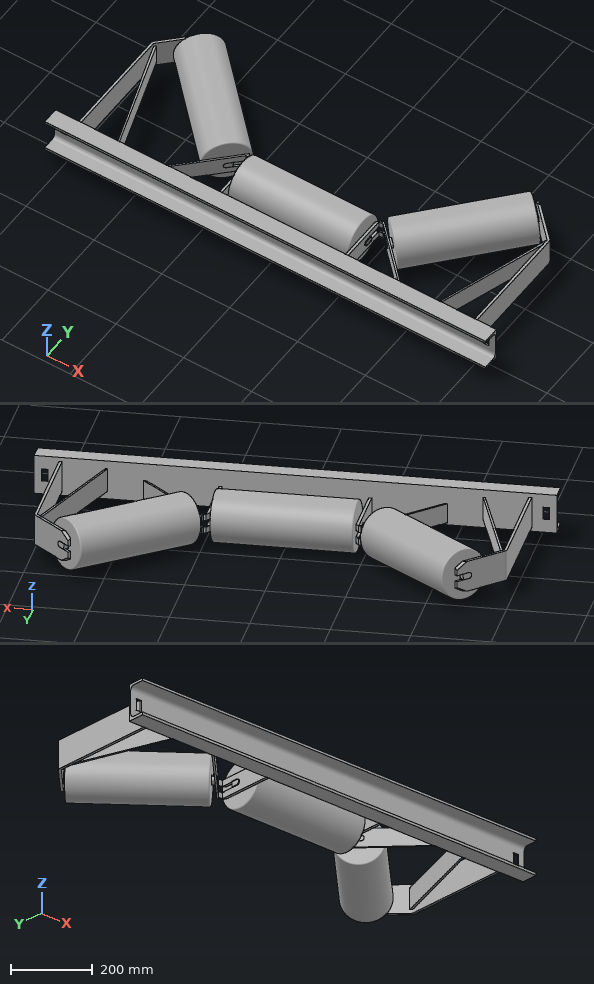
import cadquery as cq
import math


BEAM_LENGTH = 1300
BEAM_HEIGHT = 101.0
BEAM_DEPTH = 48.0
FLANGE_THICKNESS = 8.0
WEB_THICKNESS = 5.0
ROOT_FILLET = 12.0
MOUNT_SLOT_WIDTH = 15.0
MOUNT_SLOT_HEIGHT = 31.0
MOUNT_SLOT_INSET = 27.0

ROLLER_DIAMETER = 133.0
ROLLER_LENGTH = 356.0
ROLLER_EDGE_FILLET = 4.0
SHAFT_DIAMETER = 25.0
FLAT_WIDTH = 15.0
CENTRE_AXIS_Y = 118.0
CENTRE_AXIS_Z = -20.0
SIDE_ROLLER_X = 369.0
SIDE_ROLLER_Y = 273.0
SIDE_ROLLER_Z = CENTRE_AXIS_Z / 2
TROUGH_ANGLE = 45
TILT_ANGLE = 3.1

OUTER_STRIP_WIDTH = 79.0
INNER_STRIP_WIDTH = 51.0
BRACE_WIDTH = 60.0
BEND_RADIUS = 6.0
THICK_STRIP = 8.0
THIN_STRIP = 5.0
TIP_CHAMFER_Y = 21.0
TIP_CHAMFER_Z = 17.0
ARM_FACE = 185.0
ARM_TIP = 31.0
DIAGONAL_FACE = 187.0
OUTER_UPRIGHT_X = 588.0
BRACE_FOOT_X = 472.0
INNER_UPRIGHT_X = 182.0
INNER_BEND_Y = 162.0
BRIDGE_TOP_Y = 173.0
INNER_TIP_Y = 178.0

SHAFT_END = ARM_FACE + THICK_STRIP
SLOT_REACH = 104
CUT_OVERRUN = 13

trough = math.radians(TROUGH_ANGLE)
tilt = math.radians(TILT_ANGLE)
axis_x, axis_y = math.cos(trough), math.sin(trough)

CENTRE_PLANE = cq.Plane(
    origin=(0, CENTRE_AXIS_Y, CENTRE_AXIS_Z),
    xDir=(0, 1, 0),
    normal=(1, 0, 0),
)
SIDE_PLANE = cq.Plane(
    origin=(SIDE_ROLLER_X, SIDE_ROLLER_Y, SIDE_ROLLER_Z),
    xDir=(-axis_y, axis_x, 0),
    normal=(axis_x * math.cos(tilt), axis_y * math.cos(tilt), math.sin(tilt)),
)


def side_point(along, across):
    """XY point at a distance along the side roller's axis and across it."""
    return (
        SIDE_ROLLER_X + along * axis_x - across * axis_y,
        SIDE_ROLLER_Y + along * axis_y + across * axis_x,
    )


def across_at(along, y):
    """Distance across the side roller's axis at which side_point reaches a given Y."""
    return (y - SIDE_ROLLER_Y - along * axis_y) / axis_x


def make_beam():
    half_opening = BEAM_HEIGHT / 2 - FLANGE_THICKNESS
    beam = (
        cq.Workplane("YZ")
        .rect(BEAM_DEPTH, BEAM_HEIGHT)
        .extrude(BEAM_LENGTH / 2, both=True)
        .translate((0, -BEAM_DEPTH / 2, 0))
    )
    channel = (
        cq.Workplane("YZ")
        .rect(2 * (BEAM_DEPTH - WEB_THICKNESS), 2 * half_opening)
        .extrude(BEAM_LENGTH / 2, both=True)
        .edges("|X")
        .fillet(ROOT_FILLET)
        .translate((0, -BEAM_DEPTH, 0))
    )
    slot_x = BEAM_LENGTH / 2 - MOUNT_SLOT_INSET
    slots = (
        cq.Workplane("XZ")
        .pushPoints([(-slot_x, 0), (slot_x, 0)])
        .rect(MOUNT_SLOT_WIDTH, MOUNT_SLOT_HEIGHT)
        .extrude(BEAM_DEPTH)
    )
    return beam.cut(channel).cut(slots)


def strip_solid(outline, width):
    """Prism of a strip's outline, centred on Z = 0."""
    return cq.Workplane("XY").polyline(outline).close().extrude(width / 2, both=True)


def chamfered_envelope(tip_y):
    """Outer bracket's outline from the side, with both corners of its free end cut off."""
    half = OUTER_STRIP_WIDTH / 2
    return (
        cq.Workplane("YZ")
        .polyline([
            (0, -half),
            (tip_y - TIP_CHAMFER_Y, -half),
            (tip_y, TIP_CHAMFER_Z - half),
            (tip_y, half - TIP_CHAMFER_Z),
            (tip_y - TIP_CHAMFER_Y, half),
            (0, half),
        ])
        .close()
        .extrude(BEAM_LENGTH / 2)
    )


def make_outer_bracket():
    outer_x = OUTER_UPRIGHT_X
    inner_x = outer_x - THICK_STRIP
    arm_outer = ARM_FACE + THICK_STRIP

    def bend_y(x, along):
        """Y where an upright's face at X = x meets an arm's face."""
        return SIDE_ROLLER_Y + (along - (x - SIDE_ROLLER_X) * axis_x) / axis_y

    outer_bend = (outer_x, bend_y(outer_x, arm_outer))
    inner_bend = (inner_x, bend_y(inner_x, ARM_FACE))
    tip = side_point(arm_outer, ARM_TIP)
    upright_and_arm = strip_solid([
        (outer_x, 0),
        outer_bend,
        tip,
        side_point(ARM_FACE, ARM_TIP),
        inner_bend,
        (inner_x, 0),
    ], OUTER_STRIP_WIDTH)
    for (x, y), radius in ((inner_bend, BEND_RADIUS), (outer_bend, BEND_RADIUS + THICK_STRIP)):
        upright_and_arm = upright_and_arm.edges(cq.NearestToPointSelector((x, y, 0))).fillet(radius)
    brace = strip_solid([
        (BRACE_FOOT_X, 0),
        (BRACE_FOOT_X - THIN_STRIP, 0),
        (inner_bend[0] - THIN_STRIP, inner_bend[1] + THIN_STRIP),
        inner_bend,
    ], BRACE_WIDTH)
    return upright_and_arm.union(brace).intersect(chamfered_envelope(tip[1]))


def make_inner_bracket():
    near = -DIAGONAL_FACE
    far = near - THIN_STRIP
    tip_across = across_at(near, INNER_TIP_Y)
    diagonal = strip_solid([
        side_point(near, tip_across),
        side_point(far, tip_across),
        side_point(far, across_at(far, 0)),
        side_point(near, across_at(near, 0)),
    ], INNER_STRIP_WIDTH)
    outer_x = INNER_UPRIGHT_X + THICK_STRIP
    bridge_bottom = BRIDGE_TOP_Y - THIN_STRIP
    bridge_end = side_point(near, across_at(near, BRIDGE_TOP_Y))[0]
    upright_and_bridge = strip_solid([
        (INNER_UPRIGHT_X, 0),
        (INNER_UPRIGHT_X, INNER_BEND_Y),
        (outer_x, BRIDGE_TOP_Y),
        (bridge_end, BRIDGE_TOP_Y),
        (bridge_end, bridge_bottom),
        (outer_x, bridge_bottom),
        (outer_x, 0),
    ], INNER_STRIP_WIDTH)
    return diagonal.union(upright_and_bridge).translate((0, 0, CENTRE_AXIS_Z))


def bar(plane, start, end, diameter):
    return cq.Workplane(plane).workplane(offset=start).circle(diameter / 2).extrude(end - start)


def flatted_bar(plane, start, end):
    """Bar with two flats and a round lower edge, as milled on the ends of a shaft."""
    half_width = FLAT_WIDTH / 2
    top = SHAFT_DIAMETER / 2
    return (
        cq.Workplane(plane)
        .workplane(offset=start)
        .moveTo(top, -half_width)
        .lineTo(half_width - SHAFT_DIAMETER / 2, -half_width)
        .threePointArc((-SHAFT_DIAMETER / 2, 0), (half_width - SHAFT_DIAMETER / 2, half_width))
        .lineTo(top, half_width)
        .close()
        .extrude(end - start)
    )


def make_shaft(plane):
    half_length = ROLLER_LENGTH / 2
    return (
        bar(plane, -half_length, half_length, SHAFT_DIAMETER)
        .union(flatted_bar(plane, -SHAFT_END, -half_length))
        .union(flatted_bar(plane, half_length, SHAFT_END))
    )


def make_roller(plane):
    half_length = ROLLER_LENGTH / 2
    return (
        bar(plane, -half_length, half_length, ROLLER_DIAMETER)
        .edges()
        .fillet(ROLLER_EDGE_FILLET)
        .cut(bar(plane, -half_length, half_length, SHAFT_DIAMETER))
    )


def shaft_slots(plane):
    """Cutter for the two open-ended slots that hold a shaft's flatted ends."""
    cut_end = SHAFT_END + CUT_OVERRUN
    opening = (
        cq.Workplane(plane)
        .center(SLOT_REACH / 2, 0)
        .rect(SLOT_REACH, FLAT_WIDTH)
        .extrude(cut_end, both=True)
    )
    return opening.union(flatted_bar(plane, -cut_end, cut_end))


def make_frame():
    outer = make_outer_bracket().cut(shaft_slots(SIDE_PLANE))
    inner = make_inner_bracket().cut(shaft_slots(SIDE_PLANE)).cut(shaft_slots(CENTRE_PLANE))
    frame = make_beam()
    for bracket in (outer, inner):
        frame = frame.union(bracket).union(bracket.mirror("YZ"))
    return frame


frame = make_frame()
centre_roller = make_roller(CENTRE_PLANE)
centre_shaft = make_shaft(CENTRE_PLANE)
right_roller = make_roller(SIDE_PLANE)
right_shaft = make_shaft(SIDE_PLANE)
bodies = [frame, centre_roller, centre_shaft, right_roller, right_shaft]
for body in (right_roller, right_shaft):
    bodies.append(body.mirror("YZ"))

result = cq.Compound.makeCompound([body.val() for body in bodies])